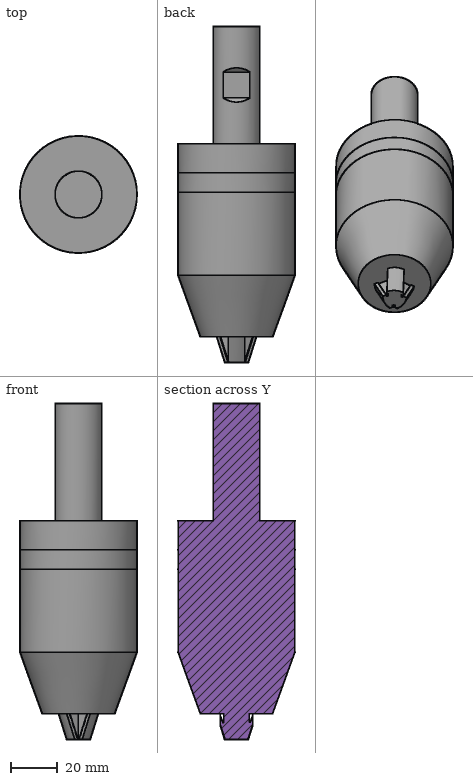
import cadquery as cq
import math

total_height = 143.48
shank_length = 50.0
cap_height = 12.5
ring_height = 8.3
sleeve_height = 35.5
nose_height = 26.2
body_top = total_height - shank_length
ring_top = body_top - cap_height
sleeve_top = ring_top - ring_height
nose_top = sleeve_top - sleeve_height
jaw_height = nose_top - nose_height

shank_diameter = 20.0
body_diameter = 50.0
ring_diameter = 50.1
nose_end_diameter = 31.0

flat_length = 11.0
flat_depth = 1.8
flat_center_z = total_height - shank_length / 2

jaw_count = 3
first_jaw_angle = 90.0
jaw_blade_width = 5.6
jaw_head_width = 7.0
jaw_neck_radius = 6.2
jaw_shoulder_radius = 7.8
jaw_outer_radius = 8.65


def cylinder(diameter, bottom, height):
    return cq.Workplane("XY", origin=(0, 0, bottom)).circle(diameter / 2).extrude(height)


def make_shank():
    shank = cylinder(shank_diameter, body_top, shank_length)
    floor_y = shank_diameter / 2 - flat_depth
    outer_y = shank_diameter / 2
    half_floor = flat_length / 2
    half_mouth = half_floor + flat_depth
    notch = (
        cq.Workplane("YZ")
        .polyline([
            (floor_y, flat_center_z - half_floor),
            (outer_y, flat_center_z - half_mouth),
            (outer_y, flat_center_z + half_mouth),
            (floor_y, flat_center_z + half_floor),
        ])
        .close()
        .extrude(shank_diameter / 2, both=True)
    )
    return shank.cut(notch)


def make_body():
    cap = cylinder(body_diameter, ring_top, cap_height)
    ring = cylinder(ring_diameter, sleeve_top, ring_height)
    sleeve = cylinder(body_diameter, nose_top, sleeve_height)
    nose = (
        cq.Workplane("XY", origin=(0, 0, jaw_height))
        .circle(nose_end_diameter / 2)
        .workplane(offset=nose_height)
        .circle(body_diameter / 2)
        .loft(ruled=True)
    )
    return cap.union(ring).union(sleeve).union(nose)


def jaw_section(z, shift):
    """Jaw outline along +X: a blade from the axis that steps out to a round-backed head."""
    half_blade = jaw_blade_width / 2
    half_head = jaw_head_width / 2
    miter_length = half_blade / math.tan(math.pi / jaw_count)
    return (
        cq.Workplane("XY", origin=(0, 0, z))
        .moveTo(0, 0)
        .lineTo(miter_length, -half_blade)
        .lineTo(jaw_neck_radius - shift, -half_blade)
        .lineTo(jaw_neck_radius - shift, -half_head)
        .lineTo(jaw_shoulder_radius - shift, -half_head)
        .threePointArc((jaw_outer_radius - shift, 0), (jaw_shoulder_radius - shift, half_head))
        .lineTo(jaw_neck_radius - shift, half_head)
        .lineTo(jaw_neck_radius - shift, half_blade)
        .lineTo(miter_length, half_blade)
        .close()
        .wires()
        .val()
    )


def make_jaws():
    nose_taper = (body_diameter - nose_end_diameter) / 2 / nose_height
    tip_shift = jaw_height * nose_taper
    jaw = cq.Workplane(
        cq.Solid.makeLoft([jaw_section(0, tip_shift), jaw_section(jaw_height, 0)], True)
    )
    jaws = None
    for index in range(jaw_count):
        angle = first_jaw_angle + index * 360 / jaw_count
        turned = jaw.rotate((0, 0, 0), (0, 0, 1), angle)
        jaws = turned if jaws is None else jaws.union(turned)
    return jaws


result = make_body().union(make_shank()).union(make_jaws())